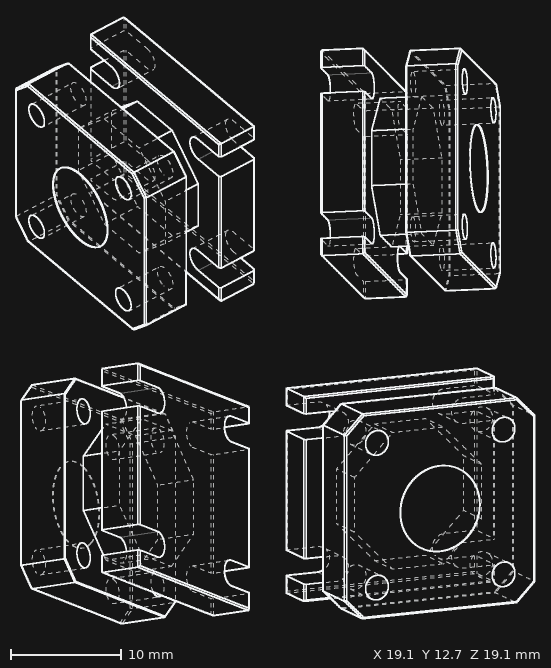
import cadquery as cq

side = 19.05
thickness = 12.7
front_plate_thickness = 4.8
back_plate_thickness = 4.08
corner_cut = 1.81

neck_width = 12.7
neck_corner_cut = 3.81

hole_diameter = 2.29
slot_width = 2.38
hole_spacing_x = 12.67
hole_spacing_z = 13.45

recess_diameter = 7.96
recess_depth = 0.08

edge_chamfer = 0.15
inner_edge_chamfer = 0.08

front_y = -thickness / 2
neck_start_y = front_y + front_plate_thickness
back_plate_y = thickness / 2 - back_plate_thickness
neck_length = back_plate_y - neck_start_y


def square_block(width, length, start_y):
    """Square block centred on the Y axis, running toward +Y from start_y."""
    return cq.Workplane("XY").box(width, length, width).translate((0, start_y + length / 2, 0))


def front_plate():
    plate = square_block(side, front_plate_thickness, front_y).edges("|Y").chamfer(corner_cut)
    plate = plate.faces("<Y").edges().chamfer(edge_chamfer)
    plate = plate.faces(">Y").edges().chamfer(inner_edge_chamfer)
    holes = (
        cq.Workplane("XZ", origin=(0, neck_start_y, 0))
        .rect(hole_spacing_x, hole_spacing_z, forConstruction=True)
        .vertices()
        .circle(hole_diameter / 2)
        .extrude(front_plate_thickness)
    )
    recess = (
        cq.Workplane("XZ", origin=(0, front_y + recess_depth, 0))
        .circle(recess_diameter / 2)
        .extrude(recess_depth)
    )
    return plate.cut(holes).cut(recess)


def neck():
    return square_block(neck_width, neck_length, neck_start_y).edges("|Y").chamfer(neck_corner_cut)


def side_slot(x_sign, z_sign):
    """Round-ended slot through the back plate, aligned with a hole and open to the side."""
    hole_x = x_sign * hole_spacing_x / 2
    hole_z = z_sign * hole_spacing_z / 2
    slot_reach = side / 2
    return (
        cq.Workplane("XZ", origin=(0, thickness / 2, 0))
        .center(hole_x + x_sign * slot_reach / 2, hole_z)
        .slot2D(slot_reach + slot_width, slot_width)
        .extrude(back_plate_thickness)
    )


def back_plate():
    plate = square_block(side, back_plate_thickness, back_plate_y)
    plate = plate.faces("<Y or >Y").edges().chamfer(edge_chamfer)
    for x_sign in (-1, 1):
        for z_sign in (-1, 1):
            plate = plate.cut(side_slot(x_sign, z_sign))
    return plate


result = front_plate().union(neck()).union(back_plate())